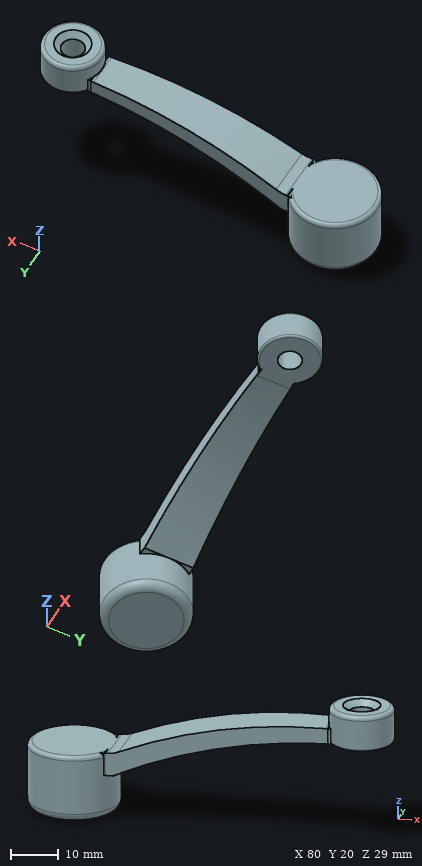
import cadquery as cq
import math

HUB_DIAMETER = 20.0
HUB_HEIGHT = 15.0
HUB_TOP_FILLET = 1.0
HUB_BOTTOM_FILLET = 2.0

TOTAL_LENGTH = 80.0
TOTAL_HEIGHT = 29.0
EYE_DIAMETER = 14.0
EYE_HEIGHT = 8.0
EYE_TOP_FILLET = 1.0
EYE_BOTTOM_FILLET = 0.5
BORE_DIAMETER = 5.2
COUNTERSINK_DIAMETER = 8.0
COUNTERSINK_ANGLE = 90.0
EYE_X = TOTAL_LENGTH - HUB_DIAMETER / 2 - EYE_DIAMETER / 2
EYE_BOTTOM = TOTAL_HEIGHT - EYE_HEIGHT

ARM_START_X = 8.2
ARM_BEND_X = 10.0
ARM_CURVE_END_X = 55.9
ARM_END_X = 56.6
ARM_HUB_WIDTH = 12.0
ARM_EYE_WIDTH = 8.2
ARM_HUB_THICKNESS = 5.0
ARM_EYE_THICKNESS = 3.5
ARM_BULGE = 2.5
BEND_RADIUS = 6.0

TONGUE_STEP = 0.1
HUB_TONGUE_DEPTH = 3.2
EYE_TONGUE_DEPTH = 2.4


def cylinder(diameter, height, top_fillet, bottom_fillet):
    """Upright cylinder on Z = 0 with rounded rims."""
    body = cq.Workplane("XY").circle(diameter / 2).extrude(height)
    return body.faces(">Z").edges().fillet(top_fillet).faces("<Z").edges().fillet(bottom_fillet)


def bulged_middle(start, end):
    """Middle of a chord, raised at right angles to it by the arm's bulge."""
    run = end[0] - start[0]
    rise = end[1] - start[1]
    chord = math.hypot(run, rise)
    middle_x = (start[0] + end[0]) / 2 - ARM_BULGE * rise / chord
    middle_z = (start[1] + end[1]) / 2 + ARM_BULGE * run / chord
    return middle_x, middle_z


def make_arm():
    """Curved side profile, cut to a tapered plan outline."""
    hub_side_bottom = HUB_HEIGHT - ARM_HUB_THICKNESS
    top_bend = (ARM_BEND_X, HUB_HEIGHT)
    bottom_bend = (ARM_BEND_X, hub_side_bottom)
    top_end = (ARM_CURVE_END_X, EYE_BOTTOM + ARM_EYE_THICKNESS)
    bottom_end = (ARM_CURVE_END_X, EYE_BOTTOM)
    profile = (
        cq.Workplane("XZ")
        .moveTo(ARM_START_X, hub_side_bottom)
        .lineTo(ARM_START_X, HUB_HEIGHT)
        .lineTo(*top_bend)
        .threePointArc(bulged_middle(top_bend, top_end), top_end)
        .lineTo(ARM_END_X, EYE_BOTTOM + ARM_EYE_THICKNESS)
        .lineTo(ARM_END_X, EYE_BOTTOM)
        .lineTo(*bottom_end)
        .threePointArc(bulged_middle(bottom_bend, bottom_end), bottom_bend)
        .close()
        .extrude(ARM_HUB_WIDTH / 2, both=True)
    )
    bend_point = cq.selectors.NearestToPointSelector((ARM_BEND_X, 0, HUB_HEIGHT))
    profile = profile.edges(bend_point).fillet(BEND_RADIUS)
    plan = (
        cq.Workplane("XY")
        .moveTo(ARM_START_X, -ARM_HUB_WIDTH / 2)
        .lineTo(ARM_END_X, -ARM_EYE_WIDTH / 2)
        .lineTo(ARM_END_X, ARM_EYE_WIDTH / 2)
        .lineTo(ARM_START_X, ARM_HUB_WIDTH / 2)
        .close()
        .extrude(TOTAL_HEIGHT)
    )
    return profile.intersect(plan)


def make_hub_tongue():
    """Block from inside the hub to the arm, a small step below the top."""
    height = ARM_HUB_THICKNESS - TONGUE_STEP
    return cq.Workplane("XY").box(
        HUB_TONGUE_DEPTH, ARM_HUB_WIDTH, height, centered=(False, True, False)
    ).translate((ARM_START_X - HUB_TONGUE_DEPTH, 0, HUB_HEIGHT - ARM_HUB_THICKNESS))


def make_eye_tongue():
    """Block from the arm into the eye, a small step inside the arm's end."""
    width = ARM_EYE_WIDTH - 2 * TONGUE_STEP
    height = ARM_EYE_THICKNESS - TONGUE_STEP
    return cq.Workplane("XY").box(
        EYE_TONGUE_DEPTH, width, height, centered=(False, True, False)
    ).translate((ARM_END_X, 0, EYE_BOTTOM))


hub = cylinder(HUB_DIAMETER, HUB_HEIGHT, HUB_TOP_FILLET, HUB_BOTTOM_FILLET)
eye = (
    cylinder(EYE_DIAMETER, EYE_HEIGHT, EYE_TOP_FILLET, EYE_BOTTOM_FILLET)
    .faces(">Z")
    .workplane()
    .cskHole(BORE_DIAMETER, COUNTERSINK_DIAMETER, COUNTERSINK_ANGLE)
    .translate((EYE_X, 0, EYE_BOTTOM))
)
result = hub.union(make_hub_tongue()).union(make_arm()).union(make_eye_tongue()).union(eye)